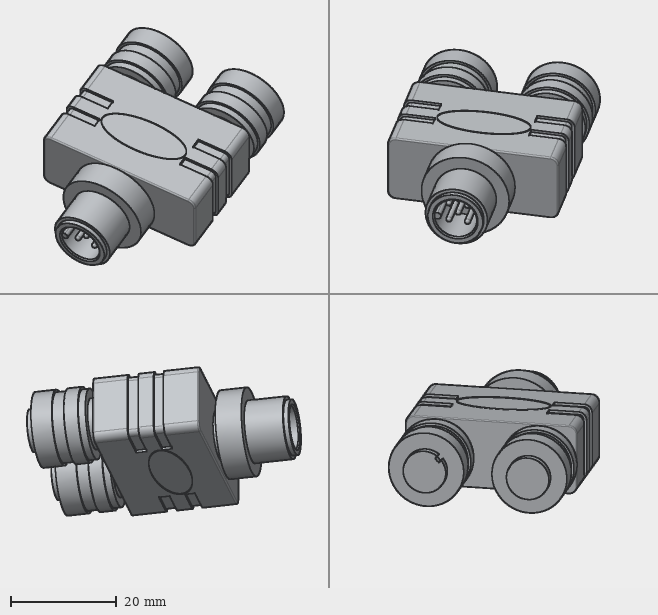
import cadquery as cq
import math


block_width = 33.1
block_height = 13.55
block_length = 20.55
block_corner_radius = 1.55
block_front_rim_radius = 0.3
block_rear_rim_radius = 0.2

groove_depth = 0.55
groove_inner_x = 9.3
rear_groove_offset = 6.7
rear_groove_width = 2.1
front_groove_offset = 11.8
front_groove_width = 1.95

label_length = 18.1
label_width = 7.35
label_offset = 11.2
label_depth = 0.15

socket_spacing = 19.95
socket_ring_diameter = 14.5
socket_waist_diameter = 13.55
socket_insert_diameter = 8.25
socket_steps = [
    (9.8, 1.4),
    (socket_waist_diameter, 1.35),
    (socket_ring_diameter, 2.75),
    (socket_waist_diameter, 2.35),
    (socket_ring_diameter, 4.05),
    (socket_insert_diameter, 1.5),
]
keyway_width = 1.05
keyway_depth = 0.7
keyway_angle = 135

sleeve_length = 7.45
tip_length = 0.93
plug_steps = [
    (9.45, 1.3),
    (17.0, 5.05),
    (12.05, sleeve_length),
    (10.65, tip_length),
]
bore_diameter = 8.2
bore_depth = sleeve_length + tip_length
mouth_chamfer = 0.3
key_width = 1.35
key_reach = 2.85
key_setback = 0.35
pin_diameter = 1.05
pin_offset = 1.8
pin_setback = 1.95

plug_length = sum(length for _, length in plug_steps)
socket_length = sum(length for _, length in socket_steps)
total_length = plug_length + block_length + socket_length
mouth_y = -total_length / 2
block_front_y = mouth_y + plug_length
block_rear_y = block_front_y + block_length
socket_end_y = block_rear_y + socket_length
insert_length = socket_steps[-1][1]


def bar_along_y(sketch, start_y, length):
    """Extrude an X-Z outline from start_y towards +Y."""
    return sketch.extrude(-length).translate((0, start_y, 0))


def cylinder_y(diameter, length, start_y, x=0, z=0):
    circle = cq.Workplane("XZ").center(x, z).circle(diameter / 2)
    return bar_along_y(circle, start_y, length)


def rounded_block(width, height, corner_radius, start_y, length):
    block = cq.Workplane("XY").box(width, length, height)
    block = block.edges("|Y").fillet(corner_radius)
    return block.translate((0, start_y + length / 2, 0))


def stepped_connector(steps, start_y, direction, x=0):
    """Turned body built outward from start_y; direction is +1 for +Y and -1 for -Y."""
    outline = [(0, 0)]
    station = 0
    for diameter, length in steps:
        outline.append((diameter / 2, station))
        station += direction * length
        outline.append((diameter / 2, station))
    outline.append((0, station))
    body = cq.Workplane("XY").polyline(outline).close().revolve(360, (0, 0), (0, 1))
    return body.translate((x, start_y, 0))


def grip_groove(offset, width):
    """Cutter that takes groove_depth off both sides, outward of groove_inner_x."""
    start_y = block_rear_y - offset - width
    outside = cq.Workplane("XY").box(2 * block_width, width, 2 * block_height)
    middle = cq.Workplane("XY").box(2 * groove_inner_x, width, 2 * block_height)
    cutter = outside.cut(middle).translate((0, start_y + width / 2, 0))
    core = rounded_block(
        block_width - 2 * groove_depth,
        block_height - 2 * groove_depth,
        block_corner_radius - groove_depth,
        start_y,
        width,
    )
    return cutter.cut(core)


def label_recess(side):
    """Oval cutter for the top (side = 1) or bottom (side = -1) face."""
    oval = cq.Workplane("XY").ellipse(label_length / 2, label_width / 2).extrude(2 * label_depth, both=True)
    face_z = side * (block_height / 2 + label_depth)
    return oval.translate((0, block_rear_y - label_offset, face_z))


def make_block():
    block = rounded_block(block_width, block_height, block_corner_radius, block_front_y, block_length)
    block = block.faces("<Y").edges().fillet(block_front_rim_radius)
    block = block.faces(">Y").edges().fillet(block_rear_rim_radius)
    block = block.cut(grip_groove(rear_groove_offset, rear_groove_width))
    block = block.cut(grip_groove(front_groove_offset, front_groove_width))
    for side in (1, -1):
        block = block.cut(label_recess(side))
    return block


def socket_keyway(x):
    """Keyway cutter along the exposed part of the socket insert."""
    insert_radius = socket_insert_diameter / 2
    angle = math.radians(keyway_angle)
    slot = cq.Workplane("XY").box(2 * keyway_depth, insert_length, keyway_width)
    slot = slot.rotate((0, 0, 0), (0, 1, 0), -keyway_angle)
    return slot.translate((
        x + insert_radius * math.cos(angle),
        socket_end_y - insert_length / 2,
        insert_radius * math.sin(angle),
    ))


def contact_pin(x, z):
    """Round pin with a hemispherical end, standing on the floor of the bore."""
    radius = pin_diameter / 2
    dome_y = mouth_y + pin_setback + radius
    shaft = cylinder_y(pin_diameter, bore_depth - pin_setback - radius, dome_y, x, z)
    dome = cq.Workplane("XY").sphere(radius).translate((x, dome_y, z))
    return shaft.union(dome)


def plug_key():
    nose_radius = key_width / 2
    nose_x = -key_reach - nose_radius
    root_x = -bore_diameter / 2 - mouth_chamfer
    outline = (
        cq.Workplane("XZ")
        .moveTo(root_x, nose_radius)
        .lineTo(nose_x, nose_radius)
        .threePointArc((-key_reach, 0), (nose_x, -nose_radius))
        .lineTo(root_x, -nose_radius)
        .close()
    )
    return bar_along_y(outline, mouth_y + key_setback, bore_depth - key_setback)


def make_plug():
    plug = stepped_connector(plug_steps, block_front_y, -1)
    plug = plug.cut(cylinder_y(bore_diameter, bore_depth, mouth_y))
    plug = plug.faces("<Y").edges("%CIRCLE").edges(cq.selectors.RadiusNthSelector(0)).chamfer(mouth_chamfer)
    plug = plug.union(plug_key())
    plug = plug.union(contact_pin(0, 0))
    for x in (-pin_offset, pin_offset):
        for z in (-pin_offset, pin_offset):
            plug = plug.union(contact_pin(x, z))
    return plug


result = make_block().union(make_plug())
for socket_x in (-socket_spacing / 2, socket_spacing / 2):
    result = result.union(stepped_connector(socket_steps, block_rear_y, 1, socket_x))

result = result.cut(socket_keyway(socket_spacing / 2))